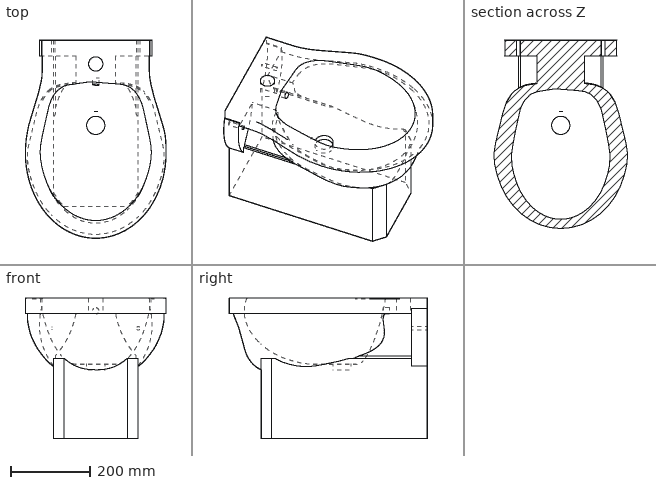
import cadquery as cq
import math


total_length = 501.0
total_height = 355.0
rim_width = 356.0
rim_half_width = rim_width / 2
rim_height = 39.5
rim_widest_y = -285.5
rim_back_half_width = 135.0
rim_straight_length = 70.0
rim_side_points = [(139.0, -110.0), (153.0, -160.5), (168.5, -210.5)]
rim_edge_radius = 2.5
rim_bottom = total_height - rim_height

pedestal_half_width = 107.0
pedestal_length = 420.0
pedestal_height = 202.5
pedestal_corner_size = 27.0

plate_thickness = 40.0
plate_top = 328.5
plate_bottom = 184.0
plate_top_half_width = 137.0
plate_half_width = 142.0
plate_widest_z = 295.5
plate_bottom_half_width = 107.0
mount_hole_x = 107.0
mount_hole_z = 278.5
mount_hole_diameter = 9.0
neck_ledge = 5.0
neck_step_height = 6.5
neck_waist_half_width = 78.0
neck_waist_z = 241.5
neck_top_half_width = 50.0
neck_length = 225.5

tap_hole_y = -60.0
tap_hole_diameter = 36.0
drain_y = -215.5
drain_seat_radius = 35.0
drain_seat_z = 188.0
drain_bore_radius = 23.0
drain_bore_depth = 15.0
overflow_z = 322.5
overflow_diameter = 16.0
overflow_start_y = -95.0
overflow_length = 30.0

bowl_sections = [
    (rim_bottom, 172.5, -103.5, -285.5, -491.0),
    (290.5, 171.5, -107.0, -285.5, -481.0),
    (230.5, 149.0, -117.5, -290.5, -463.5),
    (202.5, 128.5, -147.5, -300.5, -452.5),
    (185.5, 111.5, -168.0, -300.5, -438.0),
    (174.0, 77.5, -210.5, -310.5, -413.0),
]
basin_sections = [
    (total_height, 140.0, -106.0, -275.5, -456.0),
    (254.0, 114.0, -132.5, -285.5, -435.5),
    (203.5, 81.0, -157.0, -260.5, -363.5),
]

egg_back = [(0.0, 1.0), (0.33, 0.98), (0.62, 0.92), (0.82, 0.7), (0.92, 0.36), (1.0, 0.0)]
front_steps = 5


def mirrored_wire(half_points, z):
    """Closed smooth curve at height z: a right half from back to front, mirrored about X = 0.

    Evenly numbered parameters give every section the same knots, so the lofts stay smooth.
    """
    mirrored = [(-x, y) for x, y in reversed(half_points[1:-1])]
    vectors = [cq.Vector(x, y, z) for x, y in half_points + mirrored]
    parameters = range(len(vectors) + 1)
    return cq.Wire.assembleEdges([cq.Edge.makeSpline(vectors, periodic=True, parameters=parameters)])


def egg_wire(z, half_width, back_y, widest_y, front_y):
    """Egg outline with a squarish back and a half-elliptic front."""
    back_reach = back_y - widest_y
    front_reach = widest_y - front_y
    points = [(half_width * u, widest_y + back_reach * v) for u, v in egg_back]
    for step in range(1, front_steps + 1):
        angle = math.pi / 2 * step / front_steps
        points.append((half_width * math.cos(angle), widest_y - front_reach * math.sin(angle)))
    return mirrored_wire(points, z)


def drain_wire():
    """Round lower end of the basin."""
    count = len(egg_back) + front_steps
    angles = [math.pi * i / (count - 1) for i in range(count)]
    points = [(drain_seat_radius * math.sin(a), drain_y + drain_seat_radius * math.cos(a)) for a in angles]
    return mirrored_wire(points, drain_seat_z)


def make_rim():
    """Rim slab: straight back, flared sides and a half-elliptic front."""
    front_reach = total_length + rim_widest_y
    right_side = rim_side_points + [(rim_half_width, rim_widest_y)]
    left_side = [(-x, y) for x, y in reversed(rim_side_points)]
    left_side.append((-rim_back_half_width, -rim_straight_length))
    return (
        cq.Workplane("XY", origin=(0, 0, rim_bottom))
        .moveTo(-rim_back_half_width, 0)
        .lineTo(rim_back_half_width, 0)
        .lineTo(rim_back_half_width, -rim_straight_length)
        .spline(right_side, tangents=[(0, -1), (0, -1)], includeCurrent=True)
        .ellipseArc(rim_half_width, front_reach, 180, 360, sense=-1)
        .spline(left_side, tangents=[(0, 1), (0, 1)], includeCurrent=True)
        .close()
        .extrude(rim_height)
        .faces(">Z")
        .edges("not >Y")
        .fillet(rim_edge_radius)
    )


def make_pedestal():
    return (
        cq.Workplane("XY", origin=(0, -pedestal_length / 2, 0))
        .rect(2 * pedestal_half_width, pedestal_length)
        .extrude(pedestal_height)
        .edges("|Z and <Y")
        .chamfer(pedestal_corner_size)
    )


def make_wall_plate():
    """Upright plate with bowed sides, pierced by two mounting holes."""
    plate = (
        cq.Workplane("XZ")
        .moveTo(-plate_bottom_half_width, plate_bottom)
        .lineTo(plate_bottom_half_width, plate_bottom)
        .threePointArc((plate_half_width, plate_widest_z), (plate_top_half_width, plate_top))
        .lineTo(-plate_top_half_width, plate_top)
        .threePointArc((-plate_half_width, plate_widest_z), (-plate_bottom_half_width, plate_bottom))
        .close()
        .extrude(plate_thickness)
    )
    holes = (
        cq.Workplane("XZ")
        .pushPoints([(-mount_hole_x, mount_hole_z), (mount_hole_x, mount_hole_z)])
        .circle(mount_hole_diameter / 2)
        .extrude(plate_thickness)
    )
    return plate.cut(holes)


def make_neck():
    """Web joining the wall plate to the bowl, with hollowed sides above a low upright step."""
    base_half_width = pedestal_half_width - neck_ledge
    step_top = pedestal_height + neck_step_height
    return (
        cq.Workplane("XZ")
        .moveTo(-base_half_width, pedestal_height)
        .lineTo(base_half_width, pedestal_height)
        .lineTo(base_half_width, step_top)
        .threePointArc((neck_waist_half_width, neck_waist_z), (neck_top_half_width, rim_bottom))
        .lineTo(-neck_top_half_width, rim_bottom)
        .threePointArc((-neck_waist_half_width, neck_waist_z), (-base_half_width, step_top))
        .close()
        .extrude(neck_length)
    )


def make_bowl():
    return cq.Workplane(cq.Solid.makeLoft([egg_wire(*section) for section in bowl_sections]))


def make_basin():
    """Hollow of the bowl, from the rim opening down to the drain seat."""
    wires = [egg_wire(*section) for section in basin_sections]
    return cq.Workplane(cq.Solid.makeLoft(wires + [drain_wire()]))


def make_holes():
    """Tap hole through the rim, drain bore and overflow at the back of the basin."""
    tap = (
        cq.Workplane("XY", origin=(0, tap_hole_y, rim_bottom))
        .circle(tap_hole_diameter / 2)
        .extrude(rim_height)
    )
    drain = (
        cq.Workplane("XY", origin=(0, drain_y, drain_seat_z))
        .circle(drain_bore_radius)
        .extrude(-drain_bore_depth)
    )
    overflow = (
        cq.Workplane("XZ", origin=(0, overflow_start_y, overflow_z))
        .circle(overflow_diameter / 2)
        .extrude(overflow_length)
    )
    return tap.union(drain).union(overflow)


body = make_pedestal().union(make_bowl()).union(make_neck()).union(make_wall_plate()).union(make_rim())
result = body.cut(make_basin()).cut(make_holes())